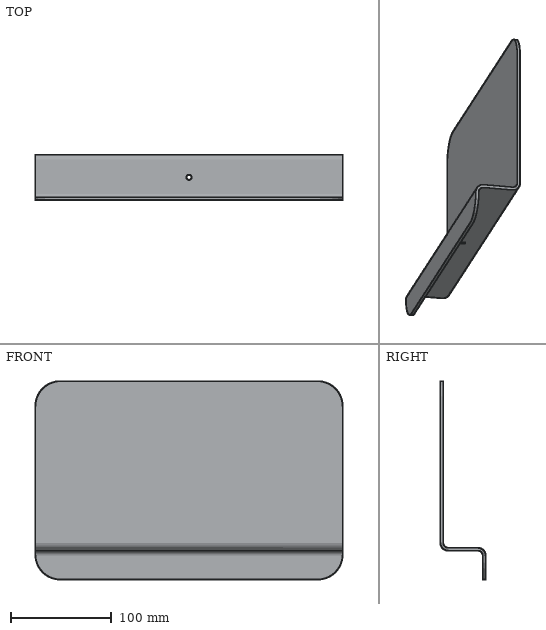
import cadquery as cq

width = 304.8
depth = 45.0
height = 197.0

thickness = 3.0
inner_bend_radius = 5.0
outer_bend_radius = inner_bend_radius + thickness

shelf_top = 31.7
corner_radius = 25.0
hole_diameter = 5.0

shelf_bottom = shelf_top - thickness
shelf_middle = (shelf_top + shelf_bottom) / 2


def bent_sheet():
    """Z-shaped strip: tall panel in front, shelf, short lip behind."""
    profile = (
        cq.Workplane("YZ")
        .moveTo(0, height)
        .lineTo(0, shelf_bottom)
        .lineTo(depth - thickness, shelf_bottom)
        .lineTo(depth - thickness, 0)
        .lineTo(depth, 0)
        .lineTo(depth, shelf_top)
        .lineTo(thickness, shelf_top)
        .lineTo(thickness, height)
        .close()
    )
    sheet = profile.extrude(width / 2, both=True)
    outer_bends = [(0, shelf_bottom), (depth, shelf_top)]
    inner_bends = [(thickness, shelf_top), (depth - thickness, shelf_bottom)]
    for bends, radius in ((outer_bends, outer_bend_radius), (inner_bends, inner_bend_radius)):
        for y, z in bends:
            bend_edge = cq.selectors.NearestToPointSelector((0, y, z))
            sheet = sheet.edges("|X").edges(bend_edge).fillet(radius)
    return sheet


def rounded_outline():
    """Block whose front outline has the four rounded corners."""
    return (
        cq.Workplane("XY")
        .box(width, depth, height, centered=(True, False, False))
        .edges("|Y")
        .fillet(corner_radius)
    )


def shelf_hole():
    """Vertical cutter through the centre of the shelf."""
    return (
        cq.Workplane("XY", origin=(0, depth / 2, shelf_middle))
        .circle(hole_diameter / 2)
        .extrude(thickness, both=True)
    )


result = bent_sheet().intersect(rounded_outline()).cut(shelf_hole())